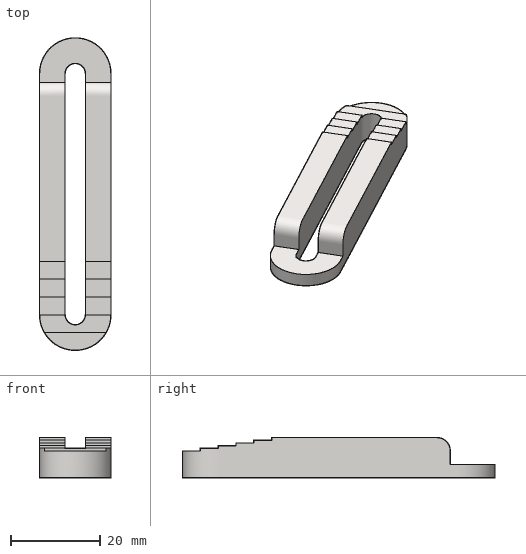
import cadquery as cq

length = 70.0
width = 16.0
height = 9.0

slot_width = 4.5

tongue_length = 10.0
tongue_thickness = 3.0
shoulder_radius = 3.0

step_count = 5
step_length = 4.0
step_drop = 0.6

front_end = -length / 2
back_end = length / 2
shoulder_y = back_end - tongue_length


def side_profile():
    """Closed outline in the YZ plane: tongue, shoulder, top face and steps."""
    profile = (
        cq.Workplane("YZ")
        .moveTo(front_end, 0)
        .lineTo(back_end, 0)
        .lineTo(back_end, tongue_thickness)
        .lineTo(shoulder_y, tongue_thickness)
        .lineTo(shoulder_y, height - shoulder_radius)
        .radiusArc((shoulder_y - shoulder_radius, height), -shoulder_radius)
    )
    for step in range(step_count):
        riser_y = front_end + (step_count - step) * step_length
        profile = profile.lineTo(riser_y, height - step * step_drop)
        profile = profile.lineTo(riser_y, height - (step + 1) * step_drop)
    return profile.lineTo(front_end, height - step_count * step_drop).close()


def upright_slot(overall_length, across):
    """Round-ended prism along Y, standing on the base plane."""
    return cq.Workplane("XY").slot2D(overall_length, across, 90).extrude(height)


body = side_profile().extrude(width / 2, both=True)
body = body.intersect(upright_slot(length, width))

slot_length = length - width + slot_width
result = body.cut(upright_slot(slot_length, slot_width))